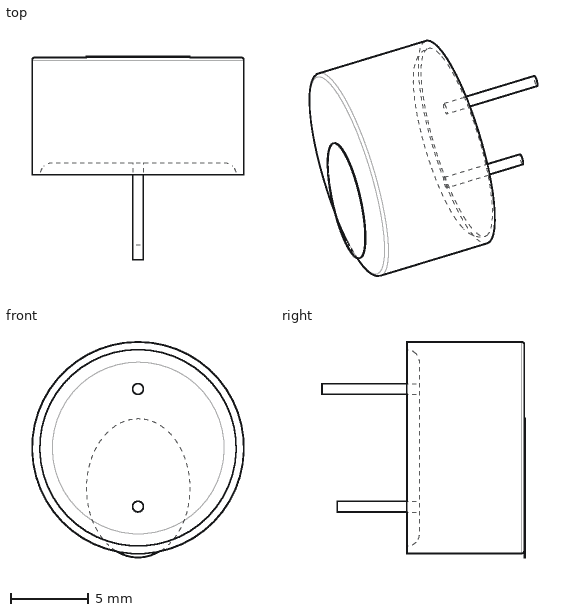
import cadquery as cq

case_diameter = 13.7
case_depth = 7.6
back_edge_radius = 0.2
rim_width = 0.5
recess_depth = 0.8

lead_diameter = 0.7
lead_spacing = 7.6
long_lead_reach = 5.5
short_lead_reach = 4.5

seal_width = 6.7
seal_top = 1.9
seal_bottom = -7.1
seal_thickness = 0.05

case_radius = case_diameter / 2


def make_case_shell():
    """Revolved case, with a front recess that rounds up into the rim."""
    recess_radius = case_radius - rim_width
    floor_radius = recess_radius - recess_depth
    return (
        cq.Workplane("YZ")
        .moveTo(recess_depth, 0)
        .lineTo(recess_depth, floor_radius)
        .radiusArc((0, recess_radius), -recess_depth)
        .lineTo(0, case_radius)
        .lineTo(case_depth - back_edge_radius, case_radius)
        .radiusArc((case_depth, case_radius - back_edge_radius), back_edge_radius)
        .lineTo(case_depth, 0)
        .close()
        .revolve(360, (0, 0, 0), (1, 0, 0))
    )


def make_lead(height, reach):
    """Round lead from the recess floor to a flat end in front of the rim."""
    return (
        cq.Workplane("XZ", origin=(0, recess_depth, height))
        .circle(lead_diameter / 2)
        .extrude(recess_depth + reach)
    )


def make_housing():
    """Case with both leads fixed in it, as one body."""
    housing = make_case_shell()
    for height, reach in (
        (lead_spacing / 2, long_lead_reach),
        (-lead_spacing / 2, short_lead_reach),
    ):
        housing = housing.union(make_lead(height, reach))
    return housing


def make_seal():
    """Thin oval sheet lying flat on the back of the case."""
    seal_height = seal_top - seal_bottom
    seal_center = (seal_top + seal_bottom) / 2
    return (
        cq.Workplane("XZ", origin=(0, case_depth, seal_center))
        .ellipse(seal_width / 2, seal_height / 2)
        .extrude(-seal_thickness)
    )


housing = make_housing()
seal = make_seal()

result = cq.Compound.makeCompound([housing.val(), seal.val()])